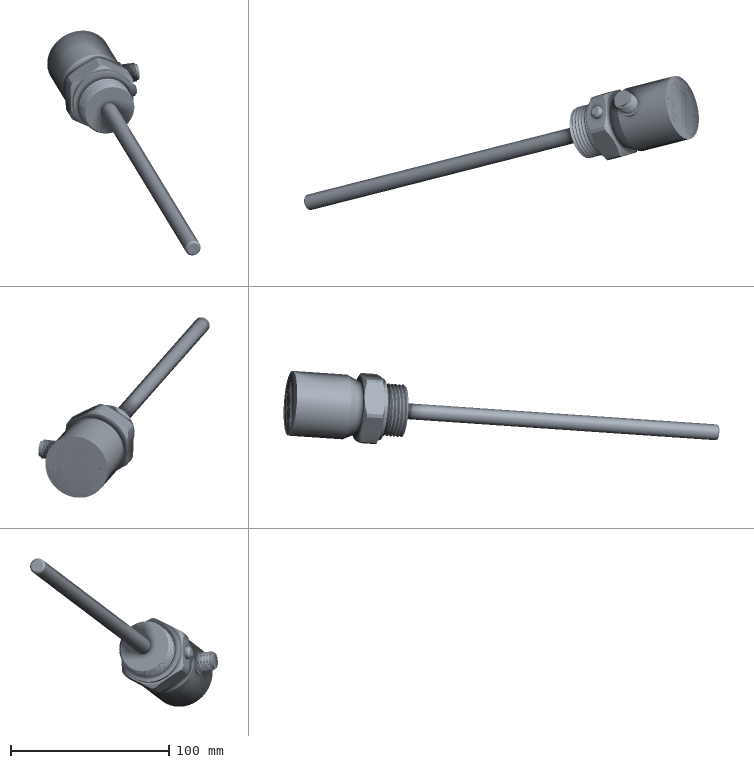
import cadquery as cq

TOTAL_LENGTH = 276.0

HOUSING_DIAMETER = 41.0
HOUSING_CYLINDER_LENGTH = 35.0
HOUSING_LENGTH = 43.5
NECK_DIAMETER = 33.0
FACE_DIAMETER = 39.0
FACE_RECESS = 0.3

KEY_PANEL_Y = 8.3
KEY_PANEL_WIDTH = 8.4
KEY_PITCH = 9.8
KEY_DIAMETER = 6.0
KEY_DOT_DIAMETER = 2.5
KEY_TRIANGLE_SIZE = 3.2
WINDOW_Y = -3.2
WINDOW_WIDTH = 11.6
WINDOW_HEIGHT = 30.6
WINDOW_CORNER_RADIUS = 2.0
GLASS_WIDTH = 7.4
GLASS_HEIGHT = 24.0
GLASS_CORNER_RADIUS = 1.0
PIN_HOLE_OFFSET = 15.8
PIN_HOLE_DIAMETER = 1.6
PIN_HOLE_DEPTH = 1.0
FACE_STEP = 0.2

GROOVE_WIDTH_RATIO = 0.92
GROOVE_OVERCUT = 0.05

HEX_ACROSS_FLATS = 41.0
HEX_TURNED_DIAMETER = 46.0
HEX_END = 56.7
HEX_FRONT_CHAMFER_LENGTH = 1.7
HEX_FRONT_CHAMFER_DEPTH = 2.6
HEX_REAR_CHAMFER_LENGTH = 1.2
HEX_REAR_CHAMFER_DEPTH = 2.2
FLANGE_DIAMETER = 39.0
FLANGE_END = 58.8
RELIEF_DIAMETER = 29.5
RELIEF_END = 61.0
THREAD_DIAMETER = 33.25
THREAD_PITCH = 2.309
THREAD_DEPTH = 1.48
FITTING_END = 73.0

ROD_DIAMETER = 10.0
ROD_CHAMFER = 1.0
ROD_SEAT_DEPTH = 10.0

CONNECTOR_X = 26.0
CONNECTOR_DIAMETER = 12.0
CONNECTOR_TOP_Y = 31.4
CONNECTOR_SEAT_Y = 18.0
CONNECTOR_COLLAR_DIAMETER = 10.1
CONNECTOR_COLLAR_LENGTH = 1.5
CONNECTOR_FLANGE_DIAMETER = 15.0
CONNECTOR_FLANGE_Y = HOUSING_DIAMETER / 2
CONNECTOR_THREAD_PITCH = 1.0
CONNECTOR_THREAD_DEPTH = 0.6

SCREW_X = 49.8
SCREW_HEAD_DIAMETER = 8.0
SCREW_HEAD_HEIGHT = 3.4
SCREW_HEAD_CHAMFER = 1.4
SCREW_SHANK_DIAMETER = 4.0
SCREW_SHANK_LENGTH = 4.0


def cylinder_x(diameter, start, end):
    return cq.Workplane("YZ", origin=(start, 0, 0)).circle(diameter / 2).extrude(end - start)


def cylinder_y(diameter, x, start, end):
    base = cq.Workplane("XZ", origin=(x, start, 0))
    return base.circle(diameter / 2).extrude(start - end)


def thread_groove(diameter, pitch, depth, start, end):
    """V-shaped helical cutter about the Z axis, from Z = start to Z = end."""
    radius = diameter / 2
    helix = cq.Wire.makeHelix(pitch, end - start, radius, cq.Vector(0, 0, start))
    half_width = GROOVE_WIDTH_RATIO * pitch / 2
    profile = (
        cq.Workplane("XZ", origin=(0, 0, start))
        .moveTo(radius + GROOVE_OVERCUT, -half_width)
        .lineTo(radius + GROOVE_OVERCUT, half_width)
        .lineTo(radius - depth, 0)
        .close()
    )
    return profile.sweep(cq.Workplane(obj=helix), isFrenet=True)


def key_symbols():
    """Engraved marks on the keys: triangles on the outer two, pointing outwards, and a dot between."""
    surface = cq.Workplane("YZ", origin=(FACE_RECESS, 0, 0)).center(KEY_PANEL_Y, 0)
    symbols = surface.circle(KEY_DOT_DIAMETER / 2).extrude(FACE_STEP)
    half = KEY_TRIANGLE_SIZE / 2
    for direction in (-1, 1):
        base = direction * (KEY_PITCH - half)
        tip = direction * (KEY_PITCH + half)
        triangle = surface.polyline([(-half, base), (half, base), (0, tip)]).close().extrude(FACE_STEP)
        symbols = symbols.union(triangle)
    return symbols


def make_housing():
    profile = [
        (0, 0),
        (0, HOUSING_DIAMETER / 2),
        (HOUSING_CYLINDER_LENGTH, HOUSING_DIAMETER / 2),
        (HOUSING_LENGTH, NECK_DIAMETER / 2),
        (HOUSING_LENGTH, 0),
    ]
    body = cq.Workplane("XY").polyline(profile).close().revolve(360, (0, 0, 0), (1, 0, 0))
    body = body.cut(cylinder_x(FACE_DIAMETER, 0, FACE_RECESS))
    face = cq.Workplane("YZ", origin=(FACE_RECESS, 0, 0))

    panel_length = 2 * KEY_PITCH + KEY_PANEL_WIDTH
    panel = face.center(KEY_PANEL_Y, 0).slot2D(panel_length, KEY_PANEL_WIDTH, 90).extrude(FACE_STEP)
    keys = face.pushPoints([(KEY_PANEL_Y, i * KEY_PITCH) for i in (-1, 0, 1)])
    keys = keys.circle(KEY_DIAMETER / 2).extrude(FACE_STEP)
    body = body.cut(panel.cut(keys))
    body = body.cut(key_symbols())

    window = face.center(WINDOW_Y, 0).rect(WINDOW_WIDTH, WINDOW_HEIGHT).extrude(FACE_STEP)
    window = window.edges("|X").fillet(WINDOW_CORNER_RADIUS)
    glass = face.center(WINDOW_Y, 0).rect(GLASS_WIDTH, GLASS_HEIGHT).extrude(2 * FACE_STEP)
    glass = glass.edges("|X").fillet(GLASS_CORNER_RADIUS)
    body = body.cut(window).cut(glass)

    holes = face.pushPoints([(s * PIN_HOLE_OFFSET, 0) for s in (-1, 1)])
    holes = holes.circle(PIN_HOLE_DIAMETER / 2).extrude(PIN_HOLE_DEPTH)
    body = body.cut(holes)
    return body.cut(
        cylinder_y(CONNECTOR_FLANGE_DIAMETER, CONNECTOR_X, CONNECTOR_SEAT_Y, HOUSING_DIAMETER)
    )


def make_fitting():
    hexagon = (
        cq.Workplane("YZ", origin=(HOUSING_LENGTH, 0, 0))
        .polygon(6, HEX_ACROSS_FLATS, circumscribed=True)
        .extrude(HEX_END - HOUSING_LENGTH)
    )
    turned = cylinder_x(HEX_TURNED_DIAMETER, HOUSING_LENGTH, HEX_END)
    turned = turned.faces("<X").chamfer(HEX_FRONT_CHAMFER_LENGTH, HEX_FRONT_CHAMFER_DEPTH)
    turned = turned.faces(">X").chamfer(HEX_REAR_CHAMFER_LENGTH, HEX_REAR_CHAMFER_DEPTH)
    body = hexagon.intersect(turned)
    body = body.union(cylinder_x(FLANGE_DIAMETER, HEX_END, FLANGE_END))
    body = body.union(cylinder_x(RELIEF_DIAMETER, FLANGE_END, RELIEF_END))
    runout = 2 * THREAD_PITCH
    body = body.union(cylinder_x(THREAD_DIAMETER, RELIEF_END, FITTING_END + runout))
    groove = thread_groove(
        THREAD_DIAMETER,
        THREAD_PITCH,
        THREAD_DEPTH,
        RELIEF_END - THREAD_PITCH / 2,
        FITTING_END + THREAD_PITCH,
    )
    body = body.cut(groove.rotate((0, 0, 0), (0, 1, 0), 90))
    body = body.cut(cylinder_x(HEX_TURNED_DIAMETER, FITTING_END, FITTING_END + runout))
    body = body.cut(cylinder_x(ROD_DIAMETER, FITTING_END - ROD_SEAT_DEPTH, FITTING_END))
    flat = HEX_ACROSS_FLATS / 2
    return body.cut(cylinder_y(SCREW_SHANK_DIAMETER, SCREW_X, flat - SCREW_SHANK_LENGTH, flat))


def make_rod():
    rod = cylinder_x(ROD_DIAMETER, FITTING_END - ROD_SEAT_DEPTH, TOTAL_LENGTH)
    return rod.faces(">X").chamfer(ROD_CHAMFER)


def make_connector():
    thread_start = CONNECTOR_FLANGE_Y - CONNECTOR_SEAT_Y
    thread_end = CONNECTOR_TOP_Y - CONNECTOR_SEAT_Y - CONNECTOR_COLLAR_LENGTH
    body = cq.Workplane("XY").circle(CONNECTOR_FLANGE_DIAMETER / 2).extrude(thread_start)
    body = body.faces(">Z").workplane()
    body = body.circle(CONNECTOR_DIAMETER / 2).extrude(thread_end - thread_start)
    body = body.cut(
        thread_groove(
            CONNECTOR_DIAMETER,
            CONNECTOR_THREAD_PITCH,
            CONNECTOR_THREAD_DEPTH,
            thread_start + CONNECTOR_THREAD_PITCH / 2,
            thread_end - CONNECTOR_THREAD_PITCH / 2,
        )
    )
    body = body.faces(">Z").workplane(origin=(0, 0, 0))
    body = body.circle(CONNECTOR_COLLAR_DIAMETER / 2).extrude(CONNECTOR_COLLAR_LENGTH)
    body = body.rotate((0, 0, 0), (1, 0, 0), -90)
    return body.translate((CONNECTOR_X, CONNECTOR_SEAT_Y, 0))


def make_screw():
    flat = HEX_ACROSS_FLATS / 2
    top = flat + SCREW_HEAD_HEIGHT
    head = cylinder_y(SCREW_HEAD_DIAMETER, SCREW_X, flat, top)
    head = head.faces(">Y").chamfer(SCREW_HEAD_CHAMFER)
    shank = cylinder_y(SCREW_SHANK_DIAMETER, SCREW_X, flat - SCREW_SHANK_LENGTH, flat)
    return head.union(shank)


housing = make_housing()
fitting = make_fitting()
rod = make_rod()
connector = make_connector()
ground_screw = make_screw()
result = cq.Compound.makeCompound(
    [housing.val(), fitting.val(), rod.val(), connector.val(), ground_screw.val()]
)